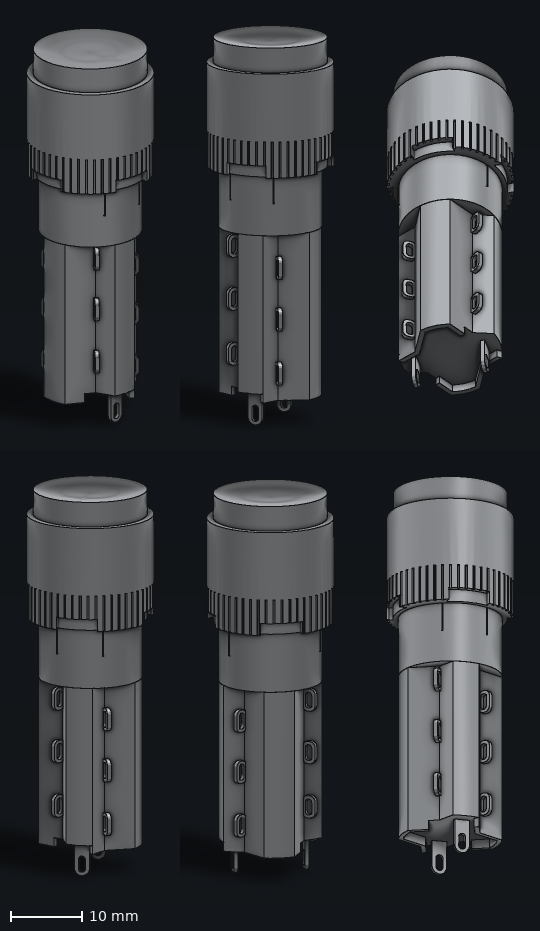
import cadquery as cq
import math

total_height = 54.8
bezel_top = 51.25
knurl_top = 41.45
ring_notch_top = 38.05
ring_bottom = 36.3
slit_bottom = 32.3
body_bottom = 27.7
cavity_top = 4.9
base_bottom = 3.55

cap_diameter = 16.1
dish_depth = 0.6
bezel_diameter = 18.0
knurl_count = 50
knurl_width = 0.3
knurl_depth = 0.35
ring_notch_width = 6.0
ring_notch_diameter = 16.1

body_diameter = 14.7
slit_outer_offset = 3.4
slit_width = 0.15
slit_depth = 1.65

lobe_diameter = 14.65
lobe_radius = lobe_diameter / 2
side_lobe_half_width = 1.9
front_lobe_half_width = 2.2
groove_x = 4.3
groove_y = 3.0

wall = 0.7
window_distance = 1.6

terminal_thickness = 0.6
eye_width = 1.0
eye_length = 2.3
tail_x = 5.1
tail_width = 2.2
tail_eye_bottom = 0.55
lug_height = 3.25
lug_tip_radius = 7.05
lug_embed = 0.15
lug_corner = 0.8
high_lug_levels = (25.4, 17.8, 9.9)
low_lug_levels = (22.8, 15.4, 7.6)

side_corner_x = math.sqrt(lobe_radius**2 - side_lobe_half_width**2)
front_corner_y = math.sqrt(lobe_radius**2 - front_lobe_half_width**2)


def cylinder(diameter, bottom, top):
    return cq.Workplane("XY").workplane(offset=bottom).circle(diameter / 2).extrude(top - bottom)


def box_between(x_range, y_range, z_range):
    size = [high - low for low, high in (x_range, y_range, z_range)]
    corner = (x_range[0], y_range[0], z_range[0])
    return cq.Workplane("XY").box(*size, centered=False).translate(corner)


def spun(shape, angle):
    return shape.rotate((0, 0, 0), (0, 0, 1), angle)


def push_button():
    """Cap whose top is a shallow spherical dish."""
    cap_radius = cap_diameter / 2
    dish_radius = (cap_radius**2 + dish_depth**2) / (2 * dish_depth)
    dish = cq.Workplane("XY").sphere(dish_radius)
    dish = dish.translate((0, 0, total_height - dish_depth + dish_radius))
    return cylinder(cap_diameter, bezel_top, total_height).cut(dish)


def bezel_ring():
    """Bezel with a knurled lower band and four notches in its lower edge."""
    ring = cylinder(bezel_diameter, ring_bottom, bezel_top)
    bezel_radius = bezel_diameter / 2
    knurls = (
        cq.Workplane("XY")
        .workplane(offset=ring_bottom)
        .polarArray(bezel_radius, -90, 360, knurl_count)
        .rect(2 * knurl_depth, knurl_width)
        .extrude(knurl_top - ring_bottom)
    )
    half_notch = ring_notch_width / 2
    notch = box_between(
        (0, bezel_diameter), (-half_notch, half_notch), (ring_bottom, ring_notch_top)
    )
    notch = notch.cut(cylinder(ring_notch_diameter, ring_bottom, ring_notch_top))
    ring = ring.cut(knurls)
    for quarter in range(4):
        ring = ring.cut(spun(notch, 90 * quarter))
    return ring


def body():
    """Round body with slits bounding a tongue on the -X and +X sides."""
    barrel = cylinder(body_diameter, body_bottom, ring_bottom)
    body_radius = body_diameter / 2
    slit_inner_x = math.sqrt(body_radius**2 - slit_outer_offset**2) - slit_depth
    slit_inner_offset = slit_outer_offset - slit_width
    for y_range in (
        (slit_inner_offset, slit_outer_offset),
        (-slit_outer_offset, -slit_inner_offset),
    ):
        slit = box_between((slit_inner_x, body_radius), y_range, (slit_bottom, ring_bottom))
        barrel = barrel.cut(slit).cut(spun(slit, 180))
    return barrel


def lobe_outline(bottom):
    """Four arcs joined by V grooves, drawn counter-clockwise from the +X lobe."""
    return (
        cq.Workplane("XY")
        .workplane(offset=bottom)
        .moveTo(side_corner_x, -side_lobe_half_width)
        .threePointArc((lobe_radius, 0), (side_corner_x, side_lobe_half_width))
        .lineTo(groove_x, groove_y)
        .lineTo(front_lobe_half_width, front_corner_y)
        .threePointArc((0, lobe_radius), (-front_lobe_half_width, front_corner_y))
        .lineTo(-groove_x, groove_y)
        .lineTo(-side_corner_x, side_lobe_half_width)
        .threePointArc((-lobe_radius, 0), (-side_corner_x, -side_lobe_half_width))
        .lineTo(-groove_x, -groove_y)
        .lineTo(-front_lobe_half_width, -front_corner_y)
        .threePointArc((0, -lobe_radius), (front_lobe_half_width, -front_corner_y))
        .lineTo(groove_x, -groove_y)
        .close()
    )


def lobe_opening(cavity_height):
    """Cut through the end of the +X lobe, flaring out to the lobe corners."""
    end_radius = lobe_radius - wall
    groove_angle = math.atan2(groove_y - side_lobe_half_width, side_corner_x - groove_x)
    normal_angle = math.pi / 2 - groove_angle
    face_distance = (
        side_corner_x * math.cos(normal_angle)
        + side_lobe_half_width * math.sin(normal_angle)
        - wall
    )
    corner_angle = normal_angle - math.acos(face_distance / end_radius)
    inner_x = end_radius * math.cos(corner_angle)
    inner_y = end_radius * math.sin(corner_angle)
    flare = (side_lobe_half_width - inner_y) / (side_corner_x - inner_x)
    outer_x = lobe_radius + wall
    outer_y = side_lobe_half_width + flare * (outer_x - side_corner_x)
    return (
        cq.Workplane("XY")
        .workplane(offset=base_bottom)
        .polyline([(0, -inner_y), (inner_x, -inner_y), (outer_x, -outer_y),
                   (outer_x, outer_y), (inner_x, inner_y), (0, inner_y)])
        .close()
        .extrude(cavity_height)
    )


def groove_window(cavity_height):
    """Cut through the +X -Y groove wall, ending square to the wall."""
    run_x = front_lobe_half_width - groove_x
    run_y = groove_y - front_corner_y
    length = math.hypot(run_x, run_y)
    along = (run_x / length, run_y / length)
    outward = (-along[1], along[0])
    end_x = groove_x + window_distance * along[0]
    end_y = -groove_y + window_distance * along[1]
    outer = (end_x + wall * outward[0], end_y + wall * outward[1])
    inner = (end_x - wall * outward[0], end_y - wall * outward[1])
    far_x = lobe_radius + wall
    return (
        cq.Workplane("XY")
        .workplane(offset=base_bottom)
        .polyline([outer, inner, (inner[0], 0), (far_x, 0), (far_x, outer[1])])
        .close()
        .extrude(cavity_height)
    )


def contact_block():
    """Lobed block, hollow at the bottom and open at two lobes and two grooves."""
    block = lobe_outline(base_bottom).extrude(body_bottom - base_bottom)
    cavity_height = cavity_top - base_bottom
    cavity = lobe_outline(base_bottom).offset2D(-wall, "intersection").extrude(cavity_height)
    block = block.cut(cavity)
    for opening in (lobe_opening(cavity_height), groove_window(cavity_height)):
        block = block.cut(opening).cut(spun(opening, 180))
    return block


def solder_tail():
    """Flat tail below the +X lobe with a rounded end and a slotted eye."""
    end_radius = tail_width / 2
    tail = (
        cq.Workplane("YZ")
        .moveTo(-end_radius, cavity_top)
        .lineTo(-end_radius, end_radius)
        .threePointArc((0, 0), (end_radius, end_radius))
        .lineTo(end_radius, cavity_top)
        .close()
        .extrude(terminal_thickness / 2, both=True)
    )
    eye = (
        cq.Workplane("YZ")
        .center(0, tail_eye_bottom + eye_length / 2)
        .slot2D(eye_length, eye_width, 90)
        .extrude(terminal_thickness, both=True)
    )
    return tail.cut(eye).translate((tail_x, 0, 0))


def side_lug(level):
    """Upright eyed lug along +X, to be turned into the bottom of a groove."""
    lug_start = math.hypot(groove_x, groove_y) - lug_embed
    lug_width = lug_tip_radius - lug_start
    plate = (
        cq.Workplane("XZ")
        .rect(lug_width, lug_height)
        .extrude(terminal_thickness / 2, both=True)
        .edges("|Y")
        .fillet(lug_corner)
    )
    eye = cq.Workplane("XZ").slot2D(eye_length, eye_width, 90).extrude(terminal_thickness, both=True)
    return plate.cut(eye).translate((lug_start + lug_width / 2, 0, level))


result = push_button().union(bezel_ring()).union(body()).union(contact_block())

for half_turn in (0, 180):
    result = result.union(spun(solder_tail(), half_turn))

groove_direction = math.degrees(math.atan2(groove_y, groove_x))
for levels, direction in ((low_lug_levels, groove_direction), (high_lug_levels, -groove_direction)):
    for level in levels:
        for half_turn in (0, 180):
            result = result.union(spun(side_lug(level), direction + half_turn))